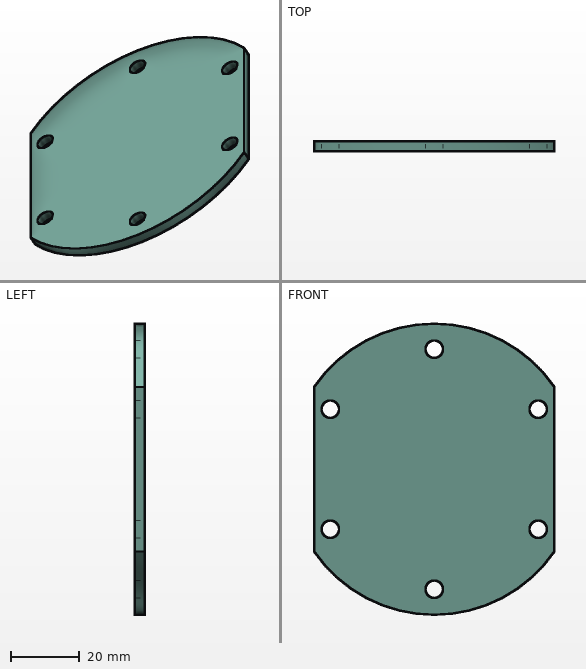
import cadquery as cq

disc_diameter = 85.0
width_across_flats = 70.1
thickness = 3.0
bolt_circle_radius = 35.0
hole_diameter = 5.0
hole_count = 6
first_hole_angle = 90.0


def back_plane():
    """Plane of the +Y face, so that extruding toward -Y centres the plate on Y = 0."""
    return cq.Workplane("XZ", origin=(0, thickness / 2, 0))


def flatted_disc():
    """Round plate standing in the XZ plane, trimmed by two flats facing -X and +X."""
    disc = back_plane().circle(disc_diameter / 2).extrude(thickness)
    trim = cq.Workplane("XY").box(width_across_flats, thickness, disc_diameter)
    return disc.intersect(trim)


def bolt_holes():
    """Evenly spaced cylinders that cut through the plate along Y."""
    return (
        back_plane()
        .polarArray(bolt_circle_radius, first_hole_angle, 360, hole_count)
        .circle(hole_diameter / 2)
        .extrude(thickness)
    )


result = flatted_disc().cut(bolt_holes())